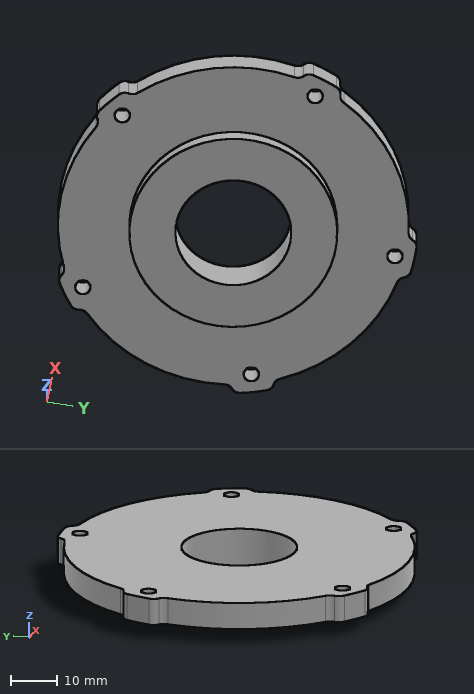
import cadquery as cq
import math

disc_radius = 38.0
lug_radius = 40.0
plate_thickness = 6.0
spigot_diameter = 45.0
spigot_height = 3.5
bore_diameter = 25.0

lug_count = 5
lug_pitch = 360 / lug_count
first_lug_angle = 90
lug_tip_half_angle = 4.1
lug_blend_radius = 2.0
bolt_hole_diameter = 3.3
bolt_circle_radius = 35.7


def polar(radius, degrees):
    angle = math.radians(degrees)
    return (radius * math.cos(angle), radius * math.sin(angle))


convex_centre_radius = lug_radius - lug_blend_radius
concave_centre_radius = disc_radius + lug_blend_radius
flank_angle = math.degrees(math.acos(
    (convex_centre_radius**2 + concave_centre_radius**2 - (2 * lug_blend_radius)**2)
    / (2 * convex_centre_radius * concave_centre_radius)
))
lug_base_half_angle = lug_tip_half_angle + flank_angle


def flank_points(lug_angle, side):
    """Base, concave middle, inflection, convex middle and tip points of one flank.

    The side is -1 for the clockwise flank and +1 for the counterclockwise one.
    """
    tip_angle = lug_angle + side * lug_tip_half_angle
    base_angle = lug_angle + side * lug_base_half_angle
    convex_centre = cq.Vector(*polar(convex_centre_radius, tip_angle))
    concave_centre = cq.Vector(*polar(concave_centre_radius, base_angle))
    tip = cq.Vector(*polar(lug_radius, tip_angle))
    base = cq.Vector(*polar(disc_radius, base_angle))
    inflection = (convex_centre + concave_centre) * 0.5

    def arc_middle(centre, start, end):
        outward = (start - centre) + (end - centre)
        return centre + outward.normalized() * lug_blend_radius

    concave_middle = arc_middle(concave_centre, base, inflection)
    convex_middle = arc_middle(convex_centre, inflection, tip)
    return base, concave_middle, inflection, convex_middle, tip


def plate_outline():
    """Closed counterclockwise outline of the disc with its lugs."""
    first_base = flank_points(first_lug_angle, -1)[0]
    outline = cq.Workplane("XY").moveTo(first_base.x, first_base.y)
    for index in range(lug_count):
        lug_angle = first_lug_angle + index * lug_pitch
        _, concave, inflection, convex, tip = flank_points(lug_angle, -1)
        outline = outline.threePointArc(concave.toTuple()[:2], inflection.toTuple()[:2])
        outline = outline.threePointArc(convex.toTuple()[:2], tip.toTuple()[:2])

        base, concave, inflection, convex, tip = flank_points(lug_angle, 1)
        outline = outline.threePointArc(polar(lug_radius, lug_angle), tip.toTuple()[:2])
        outline = outline.threePointArc(convex.toTuple()[:2], inflection.toTuple()[:2])
        outline = outline.threePointArc(concave.toTuple()[:2], base.toTuple()[:2])

        next_base = flank_points(lug_angle + lug_pitch, -1)[0]
        rim_middle = polar(disc_radius, lug_angle + lug_pitch / 2)
        outline = outline.threePointArc(rim_middle, next_base.toTuple()[:2])
    return outline.close()


plate = plate_outline().extrude(plate_thickness)
spigot = cq.Workplane("XY").circle(spigot_diameter / 2).extrude(-spigot_height)
body = plate.union(spigot)

body = body.faces(">Z").workplane(origin=(0, 0, 0)).hole(bore_diameter)

result = (
    body.faces(">Z")
    .workplane(origin=(0, 0, 0))
    .polarArray(bolt_circle_radius, first_lug_angle, 360, lug_count)
    .hole(bolt_hole_diameter)
)